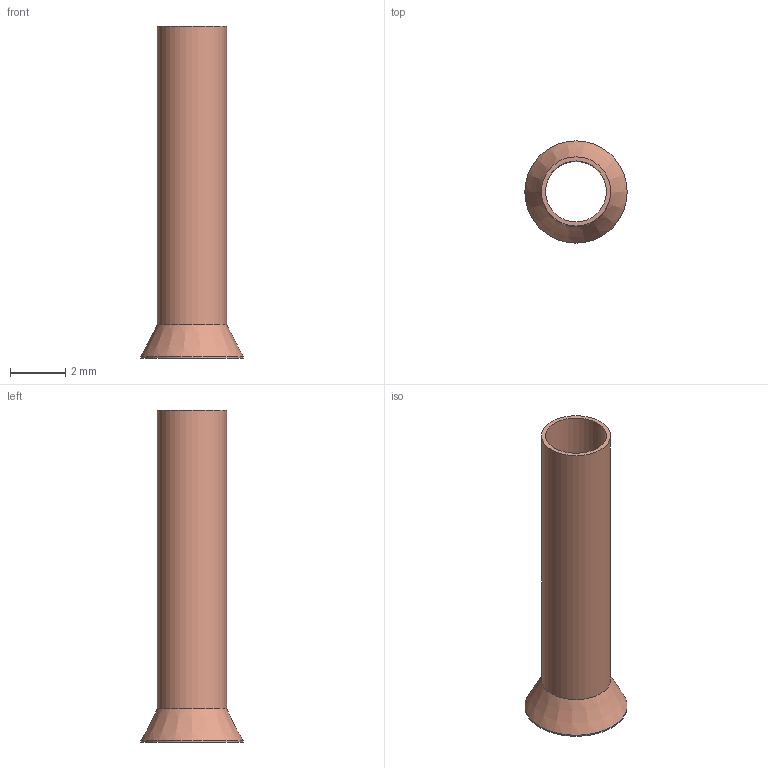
import cadquery as cq

total_length = 12.0
tube_diameter = 2.5
bore_diameter = 2.2
collar_diameter = 3.7
collar_height = 1.2
rim_height = 0.05

tube_radius = tube_diameter / 2
bore_radius = bore_diameter / 2
collar_radius = collar_diameter / 2

half_section = (
    cq.Workplane("XZ")
    .moveTo(bore_radius, 0)
    .lineTo(collar_radius, 0)
    .lineTo(collar_radius, rim_height)
    .lineTo(tube_radius, collar_height)
    .lineTo(tube_radius, total_length)
    .lineTo(bore_radius, total_length)
    .close()
)

axis_start = (0, 0, 0)
axis_end = (0, 1, 0)
result = half_section.revolve(360, axis_start, axis_end)